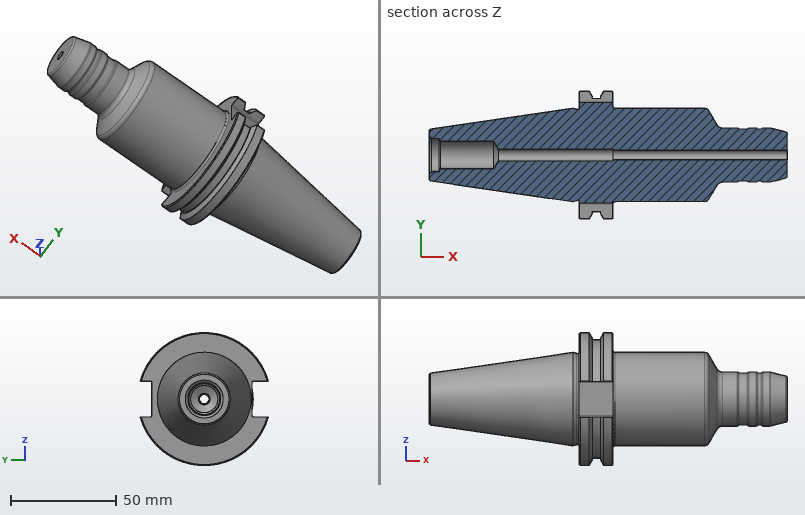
import cadquery as cq
import math

TOTAL_LENGTH = 169.9

TAPER_END_R = 12.4
TAPER_END_CHAMFER = 0.7
GAUGE_X = 68.1
GAUGE_R = 22.3
NECK_R = 21.7
NECK_SLOPE_END_X = 70.0
NECK_ROOT_FILLET = 0.5

FLANGE_START_X = 71.2
FLANGE_WIDTH = 16.0
FLANGE_END_X = FLANGE_START_X + FLANGE_WIDTH
FLANGE_R = 31.6
FLANGE_CHAMFER = 0.5
GROOVE_CENTER_X = 79.3
GROOVE_FLOOR_WIDTH = 3.7
GROOVE_FLOOR_R = 28.2
GROOVE_WALL_ROOT_R = 28.9
GROOVE_WALL_ANGLE = 30.0

SLOT_WIDTH = 16.8
SLOT_CORNER_R = 0.5
SLOT_MOUTH_CHAMFER = 0.3
SLOT_FLOOR_FRONT = 22.8
SLOT_FLOOR_BACK = 25.0

BODY_R = 22.3
BODY_ROOT_FILLET = 1.0
SHOULDER_START_X = 132.0
SHOULDER_ANGLE = 60.0
SHOULDER_OUTER_FILLET = 2.5
SHOULDER_INNER_FILLET = 2.9

NOSE_R = 12.9
RING_GROOVES = ((146.3, 151.5), (155.3, 158.2))
RING_GROOVE_DEPTH = 0.5
RING_GROOVE_FILLET = 0.5
TIP_TAPER_START_X = 161.7
TIP_TAPER_BLEND_R = 2.5
TIP_R = 10.9
TIP_FILLET = 1.0

BORE_MOUTH_R = 9.0
COUNTERBORE_R = 7.8
COUNTERBORE_DEPTH = 4.8
THREAD_CHAMFER_R = 7.3
THREAD_CHAMFER_END_X = 5.3
THREAD_R = 6.5
THREAD_DEPTH = 30.5
DRILL_POINT_ANGLE = 118.0
COOLANT_R = 2.7
COOLANT_OUTLET_R = 2.2
COOLANT_OUTLET_START_X = FLANGE_END_X


def turn(outline):
    """Revolve a closed outline, drawn as (x, radius) in the XY plane, about the X axis."""
    return outline.revolve(360, (0, 0, 0), (1, 0, 0))


def turn_points(points):
    return turn(cq.Workplane("XY").polyline(points).close())


def fillet_circle(body, x, radius):
    """Round the turned edge whose circle is centred at x on the axis."""
    edge = cq.selectors.NearestToPointSelector((x, 0, 0))
    return body.edges(edge).fillet(radius)


def make_shank():
    return turn_points([
        (0, 0),
        (0, TAPER_END_R - TAPER_END_CHAMFER),
        (TAPER_END_CHAMFER, TAPER_END_R),
        (GAUGE_X, GAUGE_R),
        (NECK_SLOPE_END_X, NECK_R),
        (FLANGE_END_X, NECK_R),
        (FLANGE_END_X, 0),
    ])


def make_flange():
    half_floor = GROOVE_FLOOR_WIDTH / 2
    wall_run = (FLANGE_R - GROOVE_WALL_ROOT_R) * math.tan(math.radians(GROOVE_WALL_ANGLE))
    half_mouth = half_floor + wall_run
    return turn_points([
        (FLANGE_START_X, 0),
        (FLANGE_START_X, FLANGE_R - FLANGE_CHAMFER),
        (FLANGE_START_X + FLANGE_CHAMFER, FLANGE_R),
        (GROOVE_CENTER_X - half_mouth, FLANGE_R),
        (GROOVE_CENTER_X - half_floor, GROOVE_WALL_ROOT_R),
        (GROOVE_CENTER_X - half_floor, GROOVE_FLOOR_R),
        (GROOVE_CENTER_X + half_floor, GROOVE_FLOOR_R),
        (GROOVE_CENTER_X + half_floor, GROOVE_WALL_ROOT_R),
        (GROOVE_CENTER_X + half_mouth, FLANGE_R),
        (FLANGE_END_X - FLANGE_CHAMFER, FLANGE_R),
        (FLANGE_END_X, FLANGE_R - FLANGE_CHAMFER),
        (FLANGE_END_X, 0),
    ])


def ring_groove_points(start_x, end_x):
    """Groove section between its two rim corners, with 45 degree walls."""
    floor_r = NOSE_R - RING_GROOVE_DEPTH
    return [
        (start_x, NOSE_R),
        (start_x + RING_GROOVE_DEPTH, floor_r),
        (end_x - RING_GROOVE_DEPTH, floor_r),
        (end_x, NOSE_R),
    ]


def make_body_and_nose():
    shoulder_run = (BODY_R - NOSE_R) / math.tan(math.radians(SHOULDER_ANGLE))
    shoulder_end_x = SHOULDER_START_X + shoulder_run
    groove_points = []
    for start_x, end_x in RING_GROOVES:
        groove_points += ring_groove_points(start_x, end_x)
    body = turn_points([
        (FLANGE_END_X, 0),
        (FLANGE_END_X, BODY_R),
        (SHOULDER_START_X, BODY_R),
        (shoulder_end_x, NOSE_R),
        *groove_points,
        (TIP_TAPER_START_X, NOSE_R),
        (TOTAL_LENGTH, TIP_R),
        (TOTAL_LENGTH, 0),
    ])
    body = fillet_circle(body, SHOULDER_START_X, SHOULDER_OUTER_FILLET)
    body = fillet_circle(body, shoulder_end_x, SHOULDER_INNER_FILLET)
    body = fillet_circle(body, TIP_TAPER_START_X, TIP_TAPER_BLEND_R)
    body = fillet_circle(body, TOTAL_LENGTH, TIP_FILLET)
    for x, _ in groove_points:
        body = fillet_circle(body, x, RING_GROOVE_FILLET)
    return body


def make_root_fillet(wall_x, root_r, size, direction):
    """Concave ring in the corner of a flange face and the cylinder leaving it in +X (1) or -X (-1)."""
    arc_sag = size * (1 - math.sqrt(0.5))
    outline = (
        cq.Workplane("XY")
        .moveTo(wall_x, root_r)
        .lineTo(wall_x, root_r + size)
        .threePointArc(
            (wall_x + direction * arc_sag, root_r + arc_sag),
            (wall_x + direction * size, root_r),
        )
        .close()
    )
    return turn(outline)


def make_slot(floor, side):
    """Drive slot cutter on the +Y (side = 1) or -Y (side = -1) face of the flange."""
    depth = FLANGE_R
    slot = cq.Workplane("XY").box(FLANGE_WIDTH, depth, SLOT_WIDTH)
    slot = slot.faces("<Y" if side > 0 else ">Y").edges("|X").fillet(SLOT_CORNER_R)
    center_x = FLANGE_START_X + FLANGE_WIDTH / 2
    slot = slot.translate((center_x, side * (floor + depth / 2), 0))

    half_width = SLOT_WIDTH / 2
    rim_y = math.sqrt(FLANGE_R**2 - half_width**2)
    half_flare = half_width + SLOT_MOUTH_CHAMFER
    flare = (
        cq.Workplane("YZ", origin=(FLANGE_START_X, 0, 0))
        .polyline([
            (side * (rim_y - SLOT_MOUTH_CHAMFER), half_width),
            (side * rim_y, half_flare),
            (side * FLANGE_R, half_flare),
            (side * FLANGE_R, -half_flare),
            (side * rim_y, -half_flare),
            (side * (rim_y - SLOT_MOUTH_CHAMFER), -half_width),
        ])
        .close()
        .extrude(FLANGE_WIDTH)
    )
    return slot.union(flare)


def make_bore():
    mouth_chamfer = BORE_MOUTH_R - COUNTERBORE_R
    point_length = (THREAD_R - COOLANT_R) / math.tan(math.radians(DRILL_POINT_ANGLE / 2))
    return turn_points([
        (0, 0),
        (0, BORE_MOUTH_R),
        (mouth_chamfer, COUNTERBORE_R),
        (COUNTERBORE_DEPTH, COUNTERBORE_R),
        (COUNTERBORE_DEPTH, THREAD_CHAMFER_R),
        (THREAD_CHAMFER_END_X, THREAD_R),
        (THREAD_DEPTH, THREAD_R),
        (THREAD_DEPTH + point_length, COOLANT_R),
        (COOLANT_OUTLET_START_X, COOLANT_R),
        (COOLANT_OUTLET_START_X, COOLANT_OUTLET_R),
        (TOTAL_LENGTH, COOLANT_OUTLET_R),
        (TOTAL_LENGTH, 0),
    ])


flange = make_flange()
flange = flange.cut(make_slot(SLOT_FLOOR_FRONT, -1))
flange = flange.cut(make_slot(SLOT_FLOOR_BACK, 1))

result = make_shank().union(flange).union(make_body_and_nose())
result = result.union(make_root_fillet(FLANGE_START_X, NECK_R, NECK_ROOT_FILLET, -1))
result = result.union(make_root_fillet(FLANGE_END_X, BODY_R, BODY_ROOT_FILLET, 1))
result = result.cut(make_bore())